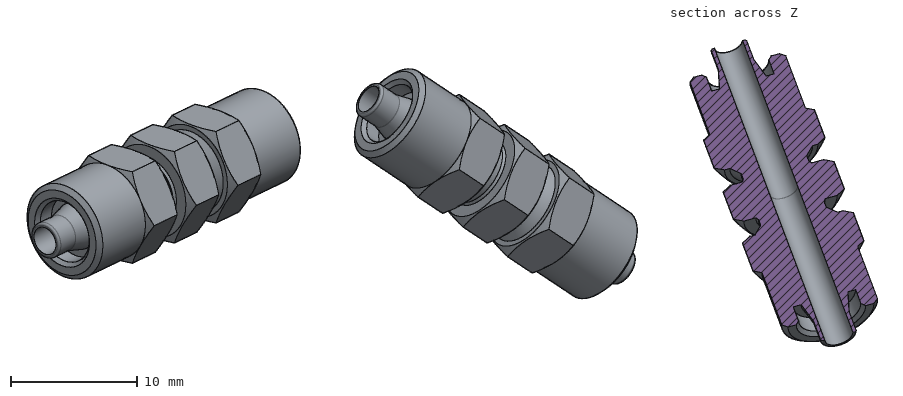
import cadquery as cq
import math

length = 28.5
across_flats = 8.0
across_corners = across_flats / math.cos(math.pi / 6)

body_hex_end = 1.77
neck_start = 2.0
neck_end = 2.5
nut_hex_start = 3.22
nut_hex_end = 6.75
sleeve_end = 12.2
recess_floor = 10.55
tube_root = 12.28
tube_end = length / 2

bore_diameter = 2.3
tube_diameter = 3.0
root_diameter = 3.9
recess_diameter = 5.15
neck_diameter = 5.5
neck_root_diameter = 5.79
nut_cone_diameter = 6.9
sleeve_diameter = across_flats
hex_face_diameter = 7.78

sleeve_chamfer_radial = 0.43
sleeve_chamfer_axial = 0.35
mouth_chamfer = 0.3
tube_rounding = 0.2
hex_chamfer_angle = math.radians(30)


def revolve_about_y(points):
    """Turn a closed (radius, y) outline about the Y axis."""
    return cq.Workplane("XY").polyline(points).close().revolve(360, (0, 0, 0), (0, 1, 0))


def chamfered_hex(start, end, end_face_diameter):
    """Hexagon with corners on X, both ends turned by cones down to round faces."""
    corner_radius = across_corners / 2
    start_radius = hex_face_diameter / 2
    end_radius = end_face_diameter / 2
    slope = math.tan(hex_chamfer_angle)
    prism = (
        cq.Workplane("XZ", origin=(0, start, 0))
        .polygon(6, across_corners)
        .extrude(start - end)
    )
    envelope = revolve_about_y([
        (0, start),
        (start_radius, start),
        (corner_radius, start + (corner_radius - start_radius) * slope),
        (corner_radius, end - (corner_radius - end_radius) * slope),
        (end_radius, end),
        (0, end),
    ])
    return prism.intersect(envelope)


def half_turned_profile():
    """Neck, nut cone, sleeve with its recess, and tube on its conical root on the +Y half."""
    return revolve_about_y([
        (0, 0),
        (neck_root_diameter / 2, 0),
        (neck_root_diameter / 2, body_hex_end),
        (neck_diameter / 2, neck_start),
        (neck_diameter / 2, neck_end),
        (nut_cone_diameter / 2, nut_hex_start),
        (nut_cone_diameter / 2, nut_hex_end),
        (sleeve_diameter / 2, nut_hex_end),
        (sleeve_diameter / 2, sleeve_end - sleeve_chamfer_axial),
        (sleeve_diameter / 2 - sleeve_chamfer_radial, sleeve_end),
        (recess_diameter / 2 + mouth_chamfer, sleeve_end),
        (recess_diameter / 2, sleeve_end - mouth_chamfer),
        (recess_diameter / 2, recess_floor),
        (root_diameter / 2, recess_floor),
        (tube_diameter / 2, tube_root),
        (tube_diameter / 2, tube_end),
        (0, tube_end),
    ])


half = half_turned_profile().faces(">Y").edges().fillet(tube_rounding)
half = half.union(chamfered_hex(nut_hex_start, nut_hex_end, sleeve_diameter))
body = half.union(half.mirror("XZ"))

body = body.union(chamfered_hex(-body_hex_end, body_hex_end, hex_face_diameter))
bore = cq.Workplane("XZ").circle(bore_diameter / 2).extrude(tube_end, both=True)
result = body.cut(bore)